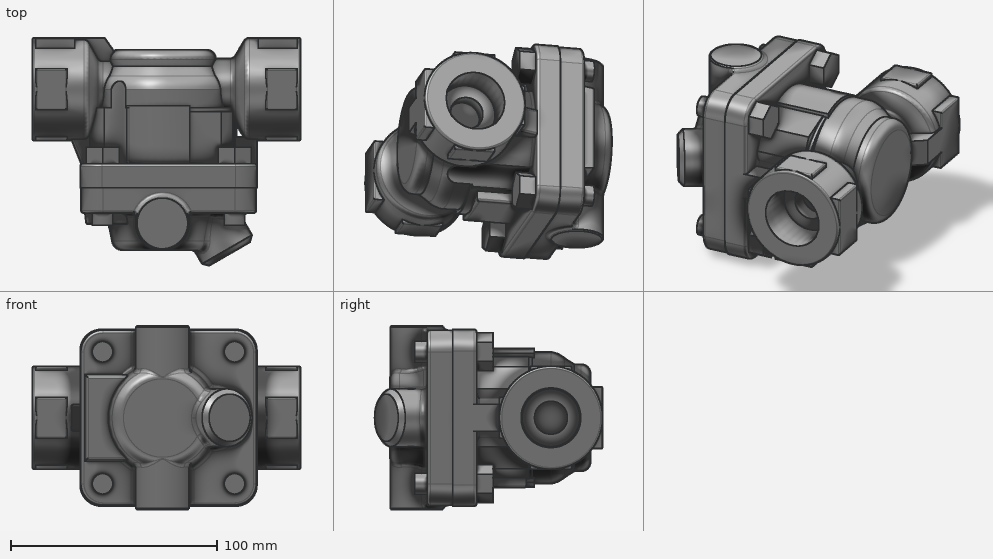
import cadquery as cq
import math


half_length = 65.0
pipe_radius = 25.0
pipe_edge_fillet = 1.0
cone_start_x = 38.5
cone_end_x = 32.5
neck_radius = 15.0
cone_start_fillet = 3.0
cone_end_fillet = 3.0
socket_mouth_radius = 14.5
socket_bottom_radius = 14.0
socket_depth = 18.5
port_radius = 8.0
port_depth = 8.0

pad_outer_x = 63.5
pad_length = 15.3
pad_width = 20.0
back_pad_length = 19.0
back_pad_width = 30.0
pad_thickness = 6.0
pad_fillet = 0.7

body_x = -2.0
cap_y = 19.3
cap_radius = 26.0
cap_fillet = 4.8
cap_bottom_y = 11.2
shoulder_radius = 29.0
shoulder_y = 6.5
dome_radius = 32.0
dome_y = 0.0
skirt_top_y = -9.0
skirt_half_height = 31.5
skirt_half_width = 36.0

flange_top_y = -36.0
joint_y = -47.7
cover_y = -60.0
cover_size = 85.0
flange_x = 1.0
body_flange_size = 85.8
corner_radius = 10.5
flange_edge_fillet = 1.4

bolt_offset = 32.0
bolt_radius = 5.0
bolt_tip_y = -66.0
head_flats = 16.0
head_height = 8.0
head_clearance_radius = 12.5
head_clearance_top_y = 12.0

label_pad_low_x = -19.6
label_pad_low_z = 27.1
label_pad_crown_z = 33.6
label_pad_high_z = 31.3
label_pad_top_y = -8.0
bulge_start_x = 11.3
bulge_start_z = 29.6
bulge_corner_x = 26.5
bulge_corner_z = 24.8
bulge_side_x = 32.0
bulge_side_z = 14.0
bulge_end_x = 33.0
bulge_top_y = -10.8
plate_width = 30.0
plate_fillet = 1.3
plate_depth = 34.0
plate_top_y = -12.0
rib_half_width = 6.5
rib_root_x = 20.0
rib_pipe_x = 46.3
rib_fillet = 1.2
back_rib_x = 30.0

boss_base_radius = 27.5
boss_shoulder_radius = 24.5
boss_shoulder_y = -73.5
boss_face_y = -78.05
boss_face_radius = 19.0
boss_edge_radius = 5.5
cross_pipe_radius = 13.0
cross_pipe_y = -65.0
cross_pipe_half_length = 44.5
cross_pipe_chamfer = 0.7
body_blend = 1.3
cover_blend = 2.5
seam_tolerance = 1e-4
spout_angle = 30.0
spout_radius = 14.0
spout_chamfer = 2.5
spout_face_x = 30.6
spout_face_y = -79.79
spout_length = 27.0
nameplate_x = -39.6
nameplate_half_height = 21.0
nameplate_thickness = 5.5
nameplate_taper = 7.0
nameplate_fillet = 1.2


def box_between(x_range, y_range, z_range):
    """Axis-aligned box given its low and high limits on each axis."""
    sizes = [high - low for low, high in (x_range, y_range, z_range)]
    corner = (x_range[0], y_range[0], z_range[0])
    return cq.Workplane("XY").box(*sizes, centered=False).translate(corner)


def cylinder_y(x, z, radius, y_low, y_high):
    """Cylinder along Y."""
    base = cq.Vector(x, y_low, z)
    return cq.Workplane(cq.Solid.makeCylinder(radius, y_high - y_low, base, cq.Vector(0, 1, 0)))


def prism_z(points, half_width):
    """Straight-sided outline in XY, extruded equally to both sides of Z = 0."""
    return cq.Workplane("XY").polyline(points).close().extrude(half_width, both=True)


def blend_seams(parts, radius):
    """Join the parts and round the edges where two of them meet."""
    joined = parts[0]
    for part in parts[1:]:
        joined = joined.union(part)

    def is_seam(edge):
        point = cq.Vertex.makeVertex(*edge.positionAt(0.5).toTuple())
        touching = [part for part in parts if part.val().distance(point) < seam_tolerance]
        return len(touching) > 1

    return joined.newObject([edge for edge in joined.edges().vals() if is_seam(edge)]).fillet(radius)


def make_pipe_end():
    """Pipe end at high X, with its neck reaching back into the body."""
    outline = (
        cq.Workplane("XY")
        .lineTo(0, neck_radius)
        .lineTo(cone_end_x, neck_radius)
        .lineTo(cone_start_x, pipe_radius)
        .lineTo(half_length, pipe_radius)
        .lineTo(half_length, 0)
        .close()
    )
    pipe = outline.revolve(360, (0, 0, 0), (1, 0, 0))
    pipe = pipe.edges("%CIRCLE").edges(">>X[-3]").fillet(cone_end_fillet)
    pipe = pipe.edges("%CIRCLE").edges(">>X[-2]").fillet(cone_start_fillet)
    pipe = pipe.faces(">X").edges().fillet(pipe_edge_fillet)
    for turn in range(4):
        is_back = turn == 0
        length = back_pad_length if is_back else pad_length
        width = back_pad_width if is_back else pad_width
        pad = box_between(
            (pad_outer_x - length, pad_outer_x),
            (pipe_radius - pad_thickness, pipe_radius),
            (-width / 2, width / 2),
        )
        pad = pad.faces(">Y").edges().fillet(pad_fillet)
        pipe = pipe.union(pad.rotate((0, 0, 0), (1, 0, 0), 90 * turn))
    return pipe


def make_pipe_bore(side):
    """Slightly tapered socket and smaller port cut into one pipe end."""
    face = cq.Vector(side * half_length, 0, 0)
    inward = cq.Vector(-side, 0, 0)
    socket = cq.Workplane(
        cq.Solid.makeCone(socket_mouth_radius, socket_bottom_radius, socket_depth, face, inward)
    )
    port = cq.Solid.makeCylinder(port_radius, socket_depth + port_depth, face, inward)
    return socket.union(cq.Workplane(port))


def make_barrel():
    """Domed round body with its cap at high Y, standing on an oval skirt."""
    profile = (
        cq.Workplane("XY")
        .moveTo(0, cap_y)
        .lineTo(cap_radius - cap_fillet, cap_y)
        .radiusArc((cap_radius, cap_y - cap_fillet), cap_fillet)
        .lineTo(cap_radius, cap_bottom_y)
        .lineTo(shoulder_radius, shoulder_y)
        .radiusArc((dome_radius, dome_y), 2 * (shoulder_y - dome_y))
        .lineTo(dome_radius, skirt_top_y)
        .lineTo(0, skirt_top_y)
        .close()
    )
    dome = profile.revolve(360, (0, 0, 0), (0, 1, 0)).translate((body_x, 0, 0))
    skirt = (
        cq.Workplane("XZ", origin=(body_x, skirt_top_y, 0))
        .ellipse(skirt_half_width, skirt_half_height)
        .extrude(skirt_top_y - joint_y)
    )
    return dome.union(skirt)


def make_label_pad(z_side):
    """Raised, gently curved pad on one Z side of the skirt."""
    outline = (
        cq.Workplane("XZ", origin=(0, label_pad_top_y, 0))
        .moveTo(label_pad_low_x, 0)
        .lineTo(label_pad_low_x, z_side * label_pad_low_z)
        .threePointArc((body_x, z_side * label_pad_crown_z), (bulge_start_x, z_side * label_pad_high_z))
        .lineTo(bulge_start_x, 0)
        .close()
    )
    return outline.extrude(label_pad_top_y - joint_y)


def make_bulge(z_side):
    """Flat-topped swelling beside the bolt heads at high X."""
    outline = (
        cq.Workplane("XZ", origin=(0, bulge_top_y, 0))
        .moveTo(bulge_start_x, 0)
        .lineTo(bulge_start_x, z_side * bulge_start_z)
        .lineTo(bulge_corner_x, z_side * bulge_corner_z)
        .lineTo(bulge_side_x, z_side * bulge_side_z)
        .lineTo(bulge_end_x, 0)
        .close()
    )
    return outline.extrude(bulge_top_y - joint_y)


def make_flange(size, y_low, y_high, rounded_face):
    """Square flange with round corners and one rounded face edge."""
    half = size / 2
    x_limits = (flange_x - half, flange_x + half)
    flange = box_between(x_limits, (y_low, y_high), (-half, half))
    flange = flange.edges("|Y").fillet(corner_radius)
    return flange.faces(rounded_face).edges().fillet(flange_edge_fillet)


def make_ribs():
    """Webs joining the pipe ends to the flange, and the low-X pipe end to the cap."""
    flange_low_x = flange_x - cover_size / 2
    flange_high_x = flange_x + body_flange_size / 2
    low_rib = prism_z(
        [
            (-rib_root_x, 0),
            (-rib_pipe_x, -pipe_radius + 1),
            (flange_low_x + 0.5, flange_top_y - 1),
            (-rib_root_x, flange_top_y - 1),
        ],
        rib_half_width,
    )
    low_rib = low_rib.faces("<X").edges("not |Z").fillet(rib_fillet)
    high_rib = box_between(
        (rib_root_x, flange_high_x),
        (flange_top_y - 2, -pipe_radius + 2),
        (-rib_half_width, rib_half_width),
    )
    back_rib = prism_z(
        [
            (-rib_pipe_x, 0),
            (-rib_pipe_x, pipe_radius),
            (-back_rib_x, pipe_radius),
            (-back_rib_x + 5, cap_y - 1.5),
            (-back_rib_x + 5, 0),
        ],
        rib_half_width,
    )
    return low_rib.union(high_rib).union(back_rib)


def bolt_places():
    """X and Z of the four bolt axes."""
    return [(flange_x + sx * bolt_offset, sz * bolt_offset) for sx in (-1, 1) for sz in (-1, 1)]


def make_bolt(x, z):
    """Bolt shank with a hexagon head whose corners point along Z."""
    shank = cylinder_y(x, z, bolt_radius, bolt_tip_y, flange_top_y)
    head = (
        cq.Workplane("XZ", origin=(x, flange_top_y + head_height, z))
        .transformed(rotate=(0, 0, 90))
        .polygon(6, head_flats / math.cos(math.radians(30)))
        .extrude(head_height)
    )
    return shank.union(head)


def make_body():
    """Barrel, body flange, pipe ends and ribs, with the pipe bores cut."""
    flange = make_flange(body_flange_size, joint_y, flange_top_y, ">Y")
    body = blend_seams([make_barrel(), flange], body_blend)
    for z_side in (-1, 1):
        body = body.union(make_label_pad(z_side))
    plate = box_between(
        (body_x - plate_width / 2, body_x + plate_width / 2),
        (joint_y, plate_top_y),
        (-plate_depth, 0),
    )
    body = body.union(plate.faces("<Z").edges().fillet(plate_fillet))
    for x, z in bolt_places():
        body = body.cut(cylinder_y(x, z, head_clearance_radius, flange_top_y, head_clearance_top_y))
    for z_side in (-1, 1):
        body = body.union(make_bulge(z_side))
    pipe_end = make_pipe_end()
    body = body.union(pipe_end).union(pipe_end.mirror("YZ"))
    body = body.union(make_ribs())
    for side in (-1, 1):
        body = body.cut(make_pipe_bore(side))
    return body


def make_cover():
    """Cover flange with its boss, cross pipe, spout and nameplate."""
    cover = make_flange(cover_size, cover_y, joint_y, "<Y")
    boss = (
        cq.Workplane("XY")
        .moveTo(0, joint_y)
        .lineTo(boss_base_radius, joint_y)
        .lineTo(boss_base_radius, cover_y)
        .lineTo(boss_shoulder_radius, boss_shoulder_y)
        .radiusArc((boss_face_radius, boss_face_y), boss_edge_radius)
        .lineTo(0, boss_face_y)
        .close()
        .revolve(360, (0, 0, 0), (0, 1, 0))
        .translate((body_x, 0, 0))
    )
    cross_pipe = (
        cq.Workplane("XY", origin=(body_x, cross_pipe_y, 0))
        .circle(cross_pipe_radius)
        .extrude(cross_pipe_half_length, both=True)
        .faces("<Z or >Z")
        .chamfer(cross_pipe_chamfer)
    )
    return blend_seams([cover, boss, cross_pipe, make_spout()], cover_blend).union(make_nameplate())


def make_spout():
    """Slanted spout leaving the boss toward high X and low Y."""
    slant = math.radians(spout_angle)
    direction = cq.Vector(math.sin(slant), -math.cos(slant), 0)
    face_center = cq.Vector(spout_face_x, spout_face_y, 0)
    start = face_center - direction * spout_length
    spout = cq.Workplane(cq.Solid.makeCylinder(spout_radius, spout_length, start, direction))
    return spout.faces(cq.selectors.DirectionMinMaxSelector(direction)).chamfer(spout_chamfer)


def make_nameplate():
    """Raised plate on the cover at low X, with sloping sides."""
    plate = (
        cq.Workplane("XZ", origin=((nameplate_x + body_x) / 2, cover_y, 0))
        .rect(body_x - nameplate_x, 2 * nameplate_half_height)
        .extrude(nameplate_thickness, taper=nameplate_taper)
    )
    return plate.faces("<Y").edges().fillet(nameplate_fillet)


result = make_body().union(make_cover())
for bolt_x, bolt_z in bolt_places():
    result = result.union(make_bolt(bolt_x, bolt_z))